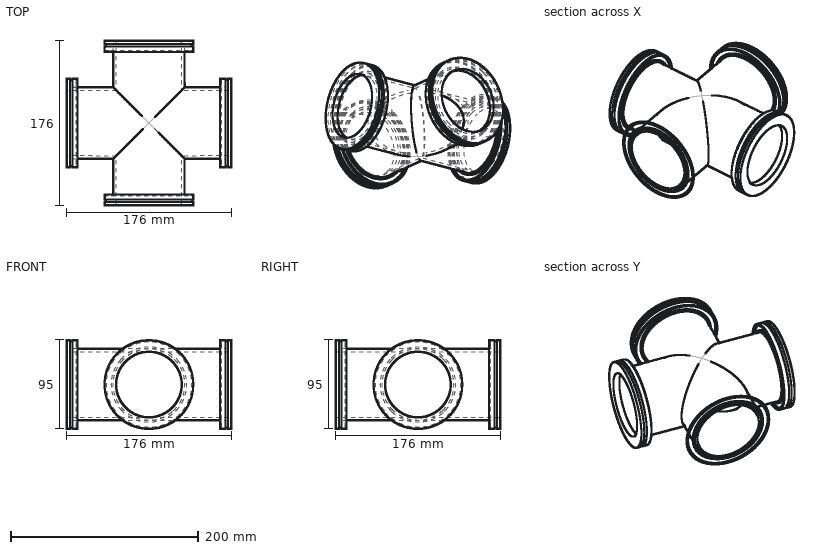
import cadquery as cq

face_to_centre = 88.0
port_angles = (0, 90, 180, 270)

tube_outer_radius = 76.6 / 2
bore_radius = 70.0 / 2

flange_radius = 95.0 / 2
flange_thickness = 11.8
socket_start = 6.8

groove_radius = 1.45
groove_position = 4.9

recess_outer_radius = 45.7
recess_inner_radius = 40.3
recess_depth = 1.6

tube_reach = face_to_centre - socket_start


def straight_bar(radius):
    """Cylinder along X, centred on the origin, as long as the joined tubes."""
    return cq.Workplane("YZ").circle(radius).extrude(tube_reach, both=True)


def turned_to_y(body):
    """The same body swung from the X axis onto the Y axis."""
    return body.rotate((0, 0, 0), (0, 0, 1), 90)


def make_cross():
    """Two equal tubes crossing at right angles, with open bores."""
    outside = straight_bar(tube_outer_radius)
    bore = straight_bar(bore_radius)
    return outside.union(turned_to_y(outside)).cut(bore).cut(turned_to_y(bore))


def make_flange(angle):
    """Flange turned about X, with a back socket for the tube, swung to its port."""
    face = face_to_centre
    back = face - flange_thickness
    groove_middle = face - groove_position
    groove_bottom = (groove_middle, flange_radius - groove_radius)
    profile = (
        cq.Workplane("XY")
        .moveTo(face, bore_radius)
        .lineTo(face, flange_radius)
        .lineTo(groove_middle + groove_radius, flange_radius)
        .threePointArc(groove_bottom, (groove_middle - groove_radius, flange_radius))
        .lineTo(back, flange_radius)
        .lineTo(back, recess_outer_radius)
        .lineTo(back + recess_depth, recess_outer_radius)
        .lineTo(back + recess_depth, recess_inner_radius)
        .lineTo(back, recess_inner_radius)
        .lineTo(back, tube_outer_radius)
        .lineTo(tube_reach, tube_outer_radius)
        .lineTo(tube_reach, bore_radius)
        .close()
    )
    flange = profile.revolve(360, (0, 0, 0), (1, 0, 0))
    return flange.rotate((0, 0, 0), (0, 0, 1), angle)


cross = make_cross()
flanges = [make_flange(angle) for angle in port_angles]

result = cq.Compound.makeCompound([cross.val(), *[flange.val() for flange in flanges]])